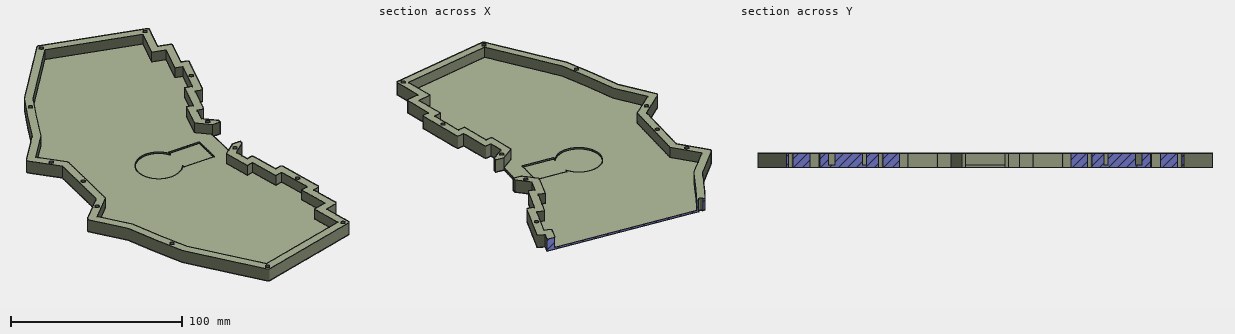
import cadquery as cq
import math

case_height = 8.5
floor_thickness = 1.5
pocket_depth = 1.0

wall = 5.0
corner_radius = 1.2
tip_radius = 1.72
sharp_turn = math.radians(60)

tilt = math.radians(15)
key_pitch = 19.0
tall_column_extra = 1.9
outer_column_edge = 122.8
step_heights = [31.0, 35.3, 40.0, 35.3, 26.5]
key_block_bottom = -33.0

throat_point = (-18.3, 37.0)
opening_corner = (-11.1, 45.5)
palm_points = [(-88.0, -31.0), (-71.3, -38.7), (-52.5, -46.7), (-35.3, -60.5), (-21.5, -46.7)]

opening_width = 22.8
opening_floor_edge = 45.0

pocket_radius = 13.8
pocket_center_y = 2.0
pocket_slot_width = 17.5
pocket_slot_start = 14.0
pocket_slot_end = 34.7

hole_diameter = 2.5
center_hole = (0, -49.0)
right_wing_holes = [
    (15.6, 44.5),
    (61.0, 60.2),
    (113.5, 60.0),
    (129.7, -0.8),
    (81.2, -36.9),
    (26.3, -55.2),
]


def from_key_block(across, up):
    """Turn left-wing key block coordinates into case coordinates."""
    x = across * math.cos(tilt) + up * math.sin(tilt)
    y = -across * math.sin(tilt) + up * math.cos(tilt)
    return (x, y)


def staircase():
    """Rear and side cavity corners of the left wing, from the middle outwards."""
    column_widths = [key_pitch, key_pitch, key_pitch + tall_column_extra, key_pitch]
    edges = [-outer_column_edge]
    for width in column_widths:
        edges.append(edges[-1] + width)
    edges.reverse()
    corners = []
    for edge, height, next_height in zip(edges, step_heights, step_heights[1:]):
        corners.append(from_key_block(edge, height))
        corners.append(from_key_block(edge, next_height))
    corners.append(from_key_block(edges[-1], step_heights[-1]))
    corners.append(from_key_block(-outer_column_edge, key_block_bottom))
    return corners


def mirrored(points):
    """Reflect points to the other wing, in reverse order so an outline keeps its direction."""
    return [(-x, y) for x, y in reversed(points)]


def corner_triples(points):
    """Each corner with the corners before and after it."""
    return zip(points[-1:] + points[:-1], points, points[1:] + points[:1])


def heading(start, end):
    return math.atan2(end[1] - start[1], end[0] - start[0])


def turn_angle(before, corner, after):
    """Signed turn at a corner in radians, positive to the left."""
    turn = heading(corner, after) - heading(before, corner)
    return math.remainder(turn, 2 * math.pi)


def offset_outward(points, distance):
    """Offset a counter-clockwise outline outward, keeping its corners sharp."""
    moved = []
    for before, corner, after in corner_triples(points):
        half_turn = turn_angle(before, corner, after) / 2
        direction = heading(before, corner) + half_turn - math.pi / 2
        reach = distance / math.cos(half_turn)
        moved.append((corner[0] + reach * math.cos(direction), corner[1] + reach * math.sin(direction)))
    return moved


def prism(points, bottom, height):
    return cq.Workplane("XY").workplane(offset=bottom).polyline(points).close().extrude(height)


def round_corners(solid, points):
    """Round the sharp convex corners of the rim, the side and front tips a little more than the rest."""
    for before, corner, after in corner_triples(points):
        if turn_angle(before, corner, after) < sharp_turn:
            continue
        radius = tip_radius if corner[1] < 0 else corner_radius
        edge = cq.selectors.NearestToPointSelector((corner[0], corner[1], case_height / 2))
        solid = solid.edges("|Z").edges(edge).fillet(radius)
    return solid


def pocket():
    """Round recess with a slot towards the rear."""
    bottom = floor_thickness - pocket_depth
    plane = cq.Workplane("XY").workplane(offset=bottom)
    disc = plane.center(0, pocket_center_y).circle(pocket_radius).extrude(pocket_depth)
    slot_length = pocket_slot_end - pocket_slot_start
    slot_middle = pocket_slot_start + slot_length / 2
    slot = plane.center(0, slot_middle).rect(pocket_slot_width, slot_length).extrude(pocket_depth)
    return disc.union(slot)


def rear_opening():
    """Full-height notch through the rear rim between the two wings."""
    plane = cq.Workplane("XY").center(0, opening_floor_edge + wall)
    return plane.rect(opening_width, 2 * wall).extrude(case_height)


left_wing = [opening_corner, throat_point] + staircase() + palm_points
cavity_outline = left_wing + mirrored(left_wing)
rim_outline = offset_outward(cavity_outline, wall)

body = round_corners(prism(rim_outline, 0, case_height), rim_outline)
body = body.cut(prism(cavity_outline, floor_thickness, case_height))
body = body.cut(rear_opening())
body = body.cut(pocket())

hole_points = [center_hole] + right_wing_holes + mirrored(right_wing_holes)
holes = cq.Workplane("XY").pushPoints(hole_points).circle(hole_diameter / 2).extrude(case_height)
result = body.cut(holes)